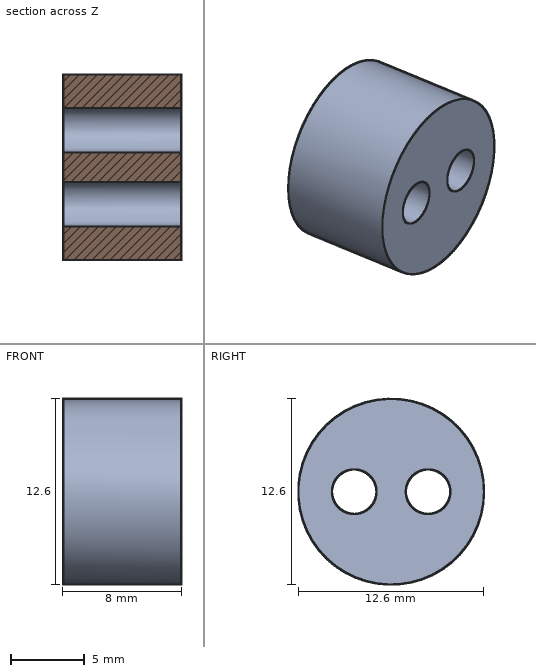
import cadquery as cq

body_diameter = 12.6
body_length = 8.0

hole_diameter = 3.0
hole_spacing = 5.0

body = (
    cq.Workplane("YZ")
    .circle(body_diameter / 2)
    .extrude(body_length)
)

hole_centers = [(-hole_spacing / 2, 0), (hole_spacing / 2, 0)]
holes = (
    cq.Workplane("YZ")
    .pushPoints(hole_centers)
    .circle(hole_diameter / 2)
    .extrude(body_length)
)

result = body.cut(holes)